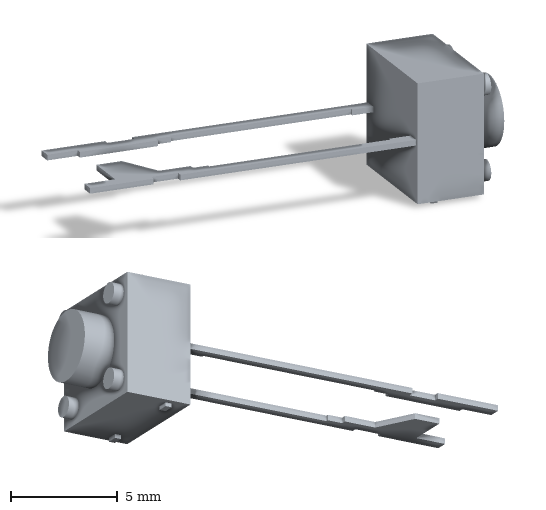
import cadquery as cq


total_length = 21.6

body_side = 6.0
body_depth = 3.4
lid_thickness = 0.32
button_diameter = 3.5
button_height = 1.58
stud_diameter = 1.04
stud_height = 0.52
stud_offset = 2.14

foot_width = 0.58
foot_depth = 0.32
foot_height = 0.2
foot_offset_x = 2.4
foot_from_rear = 1.0

lead_thickness = 0.28
lead_outer = 2.83
lead_inner = 2.18
lead_narrow_inner = 2.31
lead_wide_inner = 1.92
notch_depth = 0.25
hook_tip_x = 0.0

lead_tip = -(total_length - body_depth - button_height)
narrow_start = -1.08
narrow_end = lead_tip + 6.3
wide_start = lead_tip + 5.53
notch_start = lead_tip + 4.6
notch_end = lead_tip + 3.25
wide_end = lead_tip + 1.55
hook_root = lead_tip + 3.9
hook_corner = lead_tip + 2.85


def make_housing():
    """Rear block with the thin lid on its +Y side."""
    block_depth = body_depth - lid_thickness
    block = cq.Workplane("XZ").rect(body_side, body_side).extrude(-block_depth)
    lid = (
        cq.Workplane("XZ", origin=(0, block_depth, 0))
        .rect(body_side, body_side)
        .extrude(-lid_thickness)
    )
    return block.union(lid, clean=False)


def make_button():
    """Round button and the four corner studs around it."""
    lid_face = cq.Workplane("XZ", origin=(0, body_depth, 0))
    button = lid_face.circle(button_diameter / 2).extrude(-button_height)
    studs = (
        lid_face.rect(2 * stud_offset, 2 * stud_offset, forConstruction=True)
        .vertices()
        .circle(stud_diameter / 2)
        .extrude(-stud_height)
    )
    return button.union(studs)


def make_feet():
    """Two small rectangular feet on the -Z side."""
    return (
        cq.Workplane("XY", origin=(0, foot_from_rear, -body_side / 2))
        .pushPoints([(-foot_offset_x, 0), (foot_offset_x, 0)])
        .rect(foot_width, foot_depth)
        .extrude(-foot_height)
    )


def make_lead(hooked):
    """Flat lead on the +X side, with or without the sloped hook on its inner edge."""
    notch_floor = lead_outer - notch_depth
    outer_edge = [
        (lead_inner, lead_tip),
        (lead_outer, lead_tip),
        (lead_outer, notch_end),
        (notch_floor, notch_end),
        (notch_floor, notch_start),
        (lead_outer, notch_start),
        (lead_outer, 0),
    ]
    inner_edge = [
        (lead_inner, 0),
        (lead_inner, narrow_start),
        (lead_narrow_inner, narrow_start),
        (lead_narrow_inner, narrow_end),
        (lead_inner, narrow_end),
        (lead_inner, wide_start),
        (lead_wide_inner, wide_start),
    ]
    if hooked:
        tab_edge = [
            (lead_wide_inner, hook_root),
            (hook_tip_x, hook_corner),
            (hook_tip_x, wide_end),
        ]
    else:
        tab_edge = [(lead_wide_inner, wide_end)]
    return (
        cq.Workplane("XY", origin=(0, 0, -lead_thickness / 2))
        .polyline(outer_edge + inner_edge + tab_edge + [(lead_inner, wide_end)])
        .close()
        .extrude(lead_thickness)
    )


right_lead = make_lead(hooked=True)
left_lead = make_lead(hooked=False).mirror("YZ")

result = make_housing()
for piece in (make_button(), make_feet(), right_lead, left_lead):
    result = result.union(piece, clean=False)